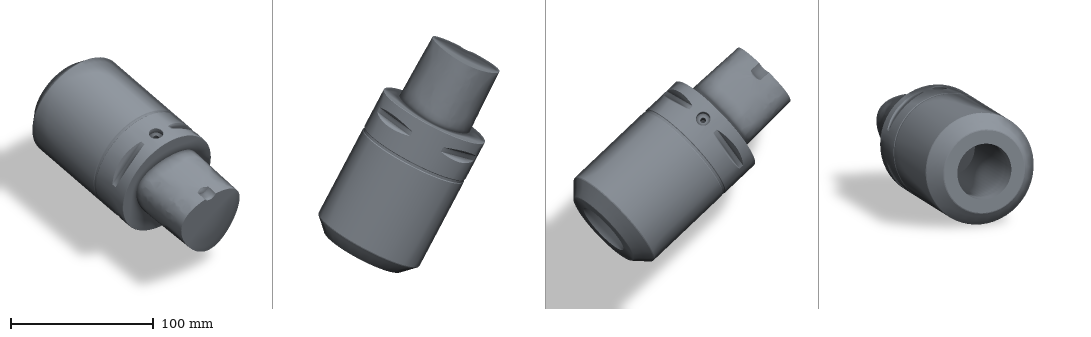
import cadquery as cq
import math

body_length = 110.0
body_diameter = 80.0
body_radius = body_diameter / 2
nose_chamfer = 10.0
nose_angle = 45.0
nose_edge_break = 0.4
flange_chamfer = 0.25

bore_diameter = 40.0
bore_depth = 80.0

ring_center_x = 79.1
ring_width = 2.8
ring_floor_width = 1.8
ring_depth = 0.5

shank_length = 48.0
shank_mean_diameter = 54.7
shank_taper = 1 / 20
shank_eccentricity = 2.1
shank_outline_steps = 36
shank_end_x = body_length + shank_length

flange_station_setback = 12.0
flange_station_x = body_length - flange_station_setback
slot_count = 4
slot_first_angle = 45.0
slot_floor_width = 3.5
slot_floor_distance = 35.5
slot_flank_angle = 30.0

pocket_diameter = 10.0
pocket_depth = 4.3
pocket_edge_break = 0.25
pilot_diameter = 4.0
pilot_depth = 6.0
drill_point_angle = 118.0

notch_diameter = 11.0
notch_length = 8.2
notch_axis_z = 26.4

selection_margin = 1.0


def make_body():
    nose_radius = body_radius - nose_chamfer
    break_run = nose_edge_break * math.cos(math.radians(nose_angle))
    ring_start = ring_center_x - ring_width / 2
    floor_start = ring_center_x - ring_floor_width / 2
    floor_end = ring_center_x + ring_floor_width / 2
    ring_end = ring_center_x + ring_width / 2
    profile = (
        cq.Workplane("XY")
        .lineTo(0, nose_radius - nose_edge_break)
        .lineTo(break_run, nose_radius + break_run)
        .lineTo(nose_chamfer - break_run, body_radius - break_run)
        .lineTo(nose_chamfer + nose_edge_break, body_radius)
        .lineTo(ring_start, body_radius)
        .lineTo(floor_start, body_radius - ring_depth)
        .lineTo(floor_end, body_radius - ring_depth)
        .lineTo(ring_end, body_radius)
        .lineTo(body_length - flange_chamfer, body_radius)
        .lineTo(body_length, body_radius - flange_chamfer)
        .lineTo(body_length, 0)
        .close()
    )
    return profile.revolve(360, (0, 0, 0), (1, 0, 0))


def shank_outline(mean_diameter):
    """Points round the three-lobed outline in Y and Z, for a closed smooth curve."""
    points = []
    for step in range(shank_outline_steps):
        angle = 2 * math.pi * step / shank_outline_steps
        across = mean_diameter / 2 * math.sin(angle) + shank_eccentricity * math.sin(2 * angle)
        up = mean_diameter / 2 * math.cos(angle) - shank_eccentricity * math.cos(2 * angle)
        points.append((across, up))
    return points


def make_shank():
    end_mean_diameter = shank_mean_diameter - shank_length * shank_taper
    return (
        cq.Workplane("YZ", origin=(body_length, 0, 0))
        .spline(shank_outline(shank_mean_diameter), periodic=True)
        .close()
        .workplane(offset=shank_length)
        .spline(shank_outline(end_mean_diameter), periodic=True)
        .close()
        .loft(ruled=True)
    )


def drill_point_length(diameter):
    return diameter / 2 / math.tan(math.radians(drill_point_angle / 2))


def make_drill(diameter, depth):
    """Drill standing on XY: mouth at Z = 0, conical point below -depth."""
    radius = diameter / 2
    return (
        cq.Workplane("XZ")
        .lineTo(radius, 0)
        .lineTo(radius, -depth)
        .lineTo(0, -depth - drill_point_length(diameter))
        .close()
        .revolve(360, (0, 0, 0), (0, 1, 0))
    )


def make_bore():
    return cq.Workplane("YZ").circle(bore_diameter / 2).extrude(bore_depth)


def make_gripper_slot():
    """Trapezoidal slot across the top of the flange, running along Y."""
    slot_depth = body_radius - slot_floor_distance
    half_floor = slot_floor_width / 2
    half_mouth = half_floor + slot_depth * math.tan(math.radians(slot_flank_angle))
    return (
        cq.Workplane("XZ")
        .polyline([
            (flange_station_x - half_floor, slot_floor_distance),
            (flange_station_x + half_floor, slot_floor_distance),
            (flange_station_x + half_mouth, body_radius),
            (flange_station_x - half_mouth, body_radius),
        ])
        .close()
        .extrude(body_radius, both=True)
    )


def make_flange_hole():
    pocket = cq.Workplane("XY").circle(pocket_diameter / 2).extrude(-pocket_depth)
    pilot = make_drill(pilot_diameter, pocket_depth + pilot_depth)
    return pocket.union(pilot).translate((flange_station_x, 0, body_radius))


def break_pocket_mouth(part):
    half_size = pocket_diameter / 2 + selection_margin
    mouth_edge = cq.selectors.BoxSelector(
        (flange_station_x - half_size, -half_size, body_radius - selection_margin),
        (flange_station_x + half_size, half_size, body_radius + selection_margin),
        boundingbox=True,
    )
    return part.edges(mouth_edge).chamfer(pocket_edge_break)


def make_notch():
    drill = make_drill(notch_diameter, notch_length)
    return drill.rotate((0, 0, 0), (0, 1, 0), 90).translate((shank_end_x, 0, notch_axis_z))


result = make_body().union(make_shank())
result = result.cut(make_bore())
for index in range(slot_count):
    slot_angle = slot_first_angle + index * 360 / slot_count
    result = result.cut(make_gripper_slot().rotate((0, 0, 0), (1, 0, 0), slot_angle))
result = result.cut(make_flange_hole())
result = break_pocket_mouth(result)
result = result.cut(make_notch())